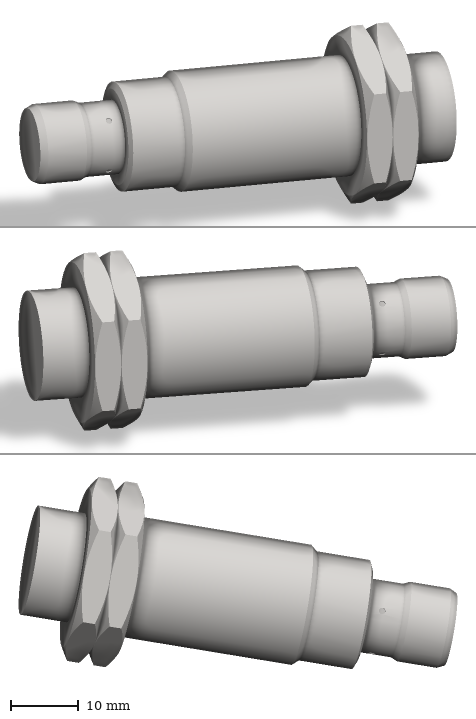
import cadquery as cq
import math

length = 63.5

barrel_radius = 9.0
sleeve_radius = 8.2
sleeve_end_radius = 7.2
neck_radius = 5.5
plug_radius = 6.0
plug_end_radius = 5.45

barrel_end = 41.0
shoulder_end = 42.0
sleeve_chamfer_start = 50.0
sleeve_end = 50.4
neck_end = 55.5
plug_start = 56.45
plug_chamfer_start = 62.4

nut_count = 2
nut_start = 7.0
nut_thickness = 4.0
nut_across_flats = 24.0
nut_face_radius = 11.95
nut_chamfer_angle = 30.0

marker_count = 4
marker_first_angle = 45.0
marker_diameter = 0.95
marker_depth = 0.2
marker_position = 52.45


def revolve_profile(stations):
    """Solid of revolution about Y from (radius, distance from the face) pairs."""
    points = [(radius, -distance) for radius, distance in stations]
    first_distance = points[0][1]
    last_distance = points[-1][1]
    outline = [(0, first_distance)] + points + [(0, last_distance)]
    return cq.Workplane("XY").polyline(outline).close().revolve(360, (0, 0), (0, 1))


def make_body():
    """Stepped round housing, the threaded barrel starting inside the nuts."""
    barrel_start = nut_start + nut_thickness
    return revolve_profile([
        (sleeve_radius, 0),
        (sleeve_radius, barrel_start),
        (barrel_radius, barrel_start),
        (barrel_radius, barrel_end),
        (sleeve_radius, shoulder_end),
        (sleeve_radius, sleeve_chamfer_start),
        (sleeve_end_radius, sleeve_end),
        (neck_radius, sleeve_end),
        (neck_radius, neck_end),
        (plug_radius, plug_start),
        (plug_radius, plug_chamfer_start),
        (plug_end_radius, length),
    ])


def make_nut(start):
    """Hexagonal nut with corners up and down, conically chamfered on both faces."""
    corner_radius = nut_across_flats / 2 / math.cos(math.radians(30))
    chamfer_slope = math.tan(math.radians(nut_chamfer_angle))
    chamfer_depth = (corner_radius - nut_face_radius) * chamfer_slope
    end = start + nut_thickness
    hexagon = (
        cq.Workplane("XZ", origin=(0, -start, 0))
        .transformed(rotate=(0, 0, 90))
        .polygon(6, 2 * corner_radius)
        .extrude(nut_thickness)
    )
    chamfer_envelope = revolve_profile([
        (nut_face_radius, start),
        (corner_radius, start + chamfer_depth),
        (corner_radius, end - chamfer_depth),
        (nut_face_radius, end),
    ])
    return hexagon.intersect(chamfer_envelope)


def make_marker(angle):
    """Radial cutter for one marker hole."""
    return (
        cq.Workplane("XY", origin=(0, -marker_position, neck_radius - marker_depth))
        .circle(marker_diameter / 2)
        .extrude(2 * marker_depth)
        .rotate((0, 0, 0), (0, 1, 0), angle)
    )


result = make_body()
for nut_index in range(nut_count):
    result = result.union(make_nut(nut_start + nut_index * nut_thickness))
for marker_index in range(marker_count):
    marker_angle = marker_first_angle + marker_index * 360 / marker_count
    result = result.cut(make_marker(marker_angle))